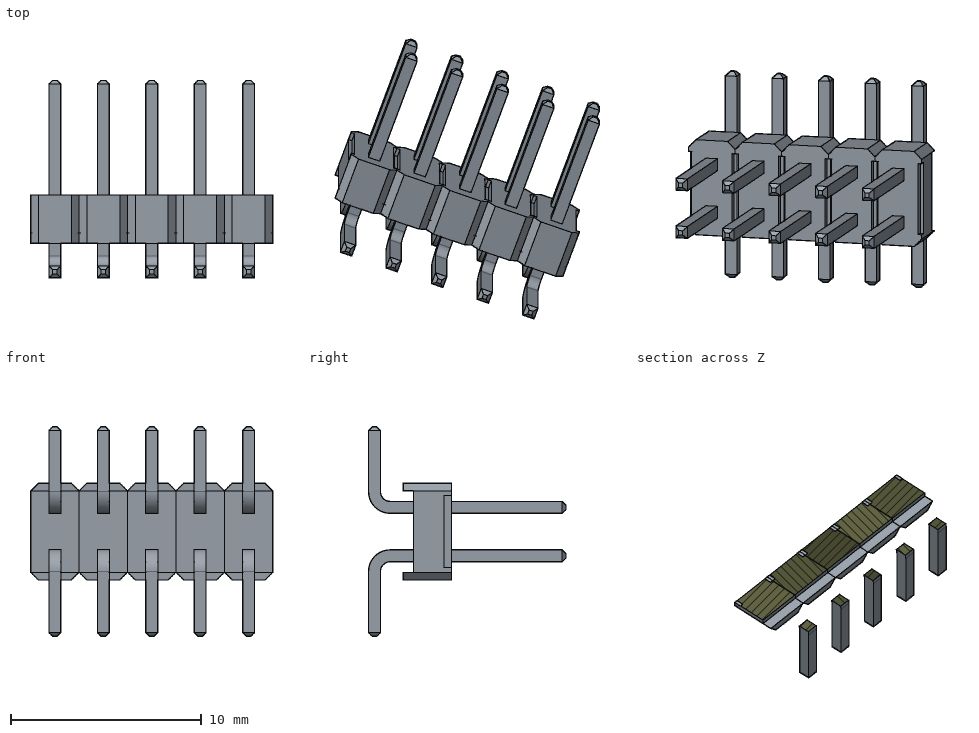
import cadquery as cq
import math


module_count = 5
pitch = 2.54

block_depth = 2.54
block_height = 2 * pitch
edge_chamfer = 0.41
channel_depth = 0.55
notch_depth_y = 0.41
notch_depth_x = 0.18
notch_height = 3.78

pin_width = 0.64
pin_back_length = 6.01
pin_front_reach = 1.82
tail_tip_height = 5.5
bend_outer_radius = 1.14
bend_inner_radius = bend_outer_radius - pin_width
tip_taper = 0.2

block_middle_y = -block_depth / 2
pin_back_y = pin_back_length
pin_front_y = -(block_depth + pin_front_reach)


def make_block():
    """Insulator block of one module, centred on X = 0."""
    block = (
        cq.Workplane("XY")
        .box(pitch, block_depth, block_height)
        .translate((0, block_middle_y, 0))
        .edges("|Y")
        .chamfer(edge_chamfer)
    )

    channel_height = block_height - 2 * edge_chamfer
    channel = (
        cq.Workplane("XY")
        .box(pitch, channel_depth, channel_height)
        .translate((0, -block_depth + channel_depth / 2, 0))
    )
    block = block.cut(channel)

    for side in (-1, 1):
        notch = (
            cq.Workplane("XY")
            .box(notch_depth_x, notch_depth_y, notch_height)
            .translate((side * (pitch - notch_depth_x) / 2, -notch_depth_y / 2, 0))
        )
        block = block.cut(notch)
    return block


def make_upper_pin():
    """Square pin that runs along Y and bends upward in front of the block."""
    leg_bottom = (pitch - pin_width) / 2
    leg_top = leg_bottom + pin_width
    bend_y = pin_front_y + bend_outer_radius
    bend_z = leg_bottom + bend_outer_radius
    diagonal = math.sqrt(0.5)
    outer_mid = (bend_y - bend_outer_radius * diagonal, bend_z - bend_outer_radius * diagonal)
    inner_mid = (bend_y - bend_inner_radius * diagonal, bend_z - bend_inner_radius * diagonal)

    pin = (
        cq.Workplane("YZ")
        .moveTo(pin_back_y, leg_bottom)
        .lineTo(bend_y, leg_bottom)
        .threePointArc(outer_mid, (pin_front_y, bend_z))
        .lineTo(pin_front_y, tail_tip_height)
        .lineTo(pin_front_y + pin_width, tail_tip_height)
        .lineTo(pin_front_y + pin_width, bend_z)
        .threePointArc(inner_mid, (bend_y, leg_top))
        .lineTo(pin_back_y, leg_top)
        .close()
        .extrude(pin_width / 2, both=True)
    )

    pin = pin.faces(">Y").chamfer(tip_taper)
    return pin.faces(">Z").chamfer(tip_taper)


def make_header_module():
    """One module: the block with its two pins, as a single solid."""
    upper_pin = make_upper_pin()
    lower_pin = upper_pin.mirror("XY")
    return make_block().union(upper_pin).union(lower_pin).solids()


header_module = make_header_module()
first_module_x = -pitch * (module_count - 1) / 2
header_modules = []
for index in range(module_count):
    module_x = first_module_x + index * pitch
    header_modules.append(header_module.translate((module_x, 0, 0)).val())

result = cq.Compound.makeCompound(header_modules)